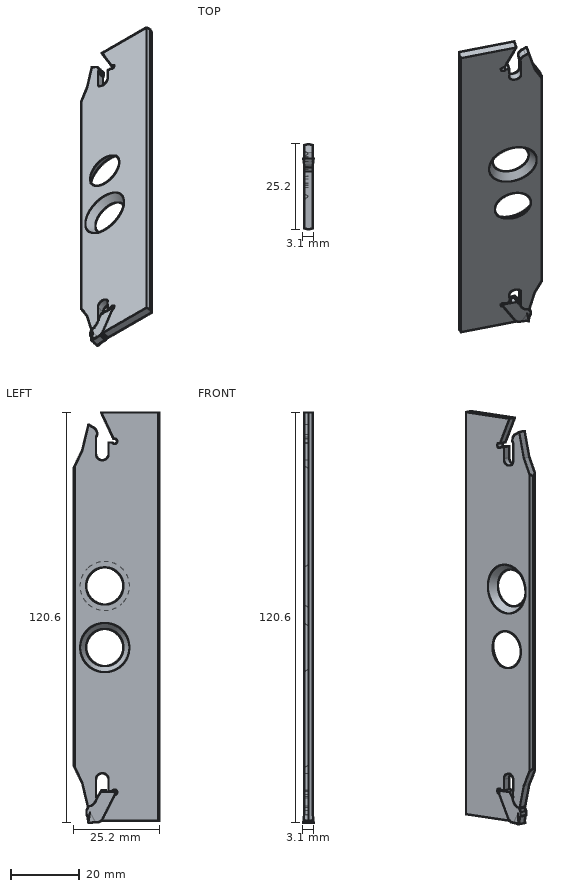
import cadquery as cq


blade_length = 120.0
blade_width = 25.2
blade_thickness = 2.5
ridge_depth = 0.4
blade_bottom = 0.6
half_thickness = blade_thickness / 2
blade_middle = blade_bottom + blade_length / 2

flank_start_depth = 16.4
flank_knee = (22.7, 11.1)
jaw_tip = (20.9, 3.5)
jaw_shoulder = (19.9, 4.1)
jaw_crown = (18.8, 4.8)
jaw_bulge = (18.2, 6.5)
jaw_root_depth = 7.2
slot_centre_y = 16.8
slot_radius = 1.8
slot_depth = 14.0
floor_depth = 8.8
relief_centre = (13.1, 8.5)
relief_radius = 0.7
seat_start_y = 17.1
seat_end = (13.6, 7.5)

hole_y = 16.0
hole_radius = 5.4
hole_spacing = 18.1
mouth_radius = 7.2

cutting_tip = (20.9, 0)
nose_notch = (21.2, 2.3)
nose_low = (21.5, 2.5)
nose_high = (21.5, 3.7)
clamp_start = (20.7, 5.0)
clamp_low = (20.0, 5.1)
clamp_middle = (19.0, 5.9)
clamp_high = (18.3, 7.5)
tail_clamp_side = (16.9, 9.8)
tail_crest_end = (15.8, 9.8)
tail_step = (15.6, 9.3)
tail_seat_side = (13.0, 9.3)
seat_top = (13.0, 8.5)
seat_bottom = (16.9, 0.8)
rake_end = (17.7, 0.2)
tail_bevel = 0.6
insert_head_width = 3.1
wedge_top = (20.4, 3.1)
wedge_bottom = (18.8, 0.4)


def extrude_across(profile, width):
    """Extrude a closed YZ outline symmetrically about X = 0."""
    return profile.close().extrude(width / 2, both=True)


def make_plate():
    """Plain blade whose two long edges rise to a ridge."""
    return (
        cq.Workplane("XY", origin=(0, 0, blade_bottom))
        .moveTo(0, 0)
        .lineTo(half_thickness, ridge_depth)
        .lineTo(half_thickness, blade_width - ridge_depth)
        .lineTo(0, blade_width)
        .lineTo(-half_thickness, blade_width - ridge_depth)
        .lineTo(-half_thickness, ridge_depth)
        .close()
        .extrude(blade_length)
    )


def make_end_cutter():
    """Material removed at the top end: sloped flank, jaw, slot and insert seat."""
    end = blade_bottom + blade_length

    def at(point):
        return (point[0], end - point[1])

    slot_outer = slot_centre_y + slot_radius
    slot_inner = slot_centre_y - slot_radius
    slot_arc_depth = slot_depth - slot_radius
    outline = (
        cq.Workplane("YZ")
        .moveTo(*at((seat_start_y, 0)))
        .lineTo(*at((blade_width, 0)))
        .lineTo(*at((blade_width, flank_start_depth)))
        .lineTo(*at(flank_knee))
        .lineTo(*at(jaw_tip))
        .lineTo(*at(jaw_shoulder))
        .threePointArc(at(jaw_crown), at(jaw_bulge))
        .lineTo(*at((slot_outer, jaw_root_depth)))
        .lineTo(*at((slot_outer, slot_arc_depth)))
        .threePointArc(at((slot_centre_y, slot_depth)), at((slot_inner, slot_arc_depth)))
        .lineTo(*at((slot_inner, floor_depth)))
        .lineTo(*at((relief_centre[0], floor_depth)))
        .lineTo(*at(seat_end))
    )
    relief = (
        cq.Workplane("YZ")
        .center(*at(relief_centre))
        .circle(relief_radius)
        .extrude(half_thickness, both=True)
    )
    return extrude_across(outline, blade_thickness).union(relief)


def make_conical_hole(z, side):
    """Through hole tapering inward from the -X (side = -1) or +X (side = 1) face."""
    mouth_centre = cq.Vector(side * half_thickness, hole_y, z)
    inward = cq.Vector(-side, 0, 0)
    cone = cq.Solid.makeCone(mouth_radius, hole_radius, blade_thickness, mouth_centre, inward)
    return cq.Workplane(cone)


def make_head_wedge(side):
    """Flare on one side of the insert that widens it toward the cutting tip."""
    inner, outer = side * half_thickness, side * insert_head_width / 2
    apex = cq.Vector(outer, *cutting_tip)
    foot = cq.Vector(0, *cutting_tip)
    top = cq.Vector(inner, *wedge_top)
    bottom = cq.Vector(inner, *wedge_bottom)
    corner_triples = [
        (apex, top, bottom),
        (apex, foot, top),
        (apex, bottom, foot),
        (foot, bottom, top),
    ]
    faces = [
        cq.Face.makeFromWires(cq.Wire.makePolygon(corners, close=True)) for corners in corner_triples
    ]
    return cq.Workplane(cq.Solid.makeSolid(cq.Shell.makeShell(faces)))


def make_insert():
    """Cutting insert with a flared head and a tail that rises to a ridge."""
    outline = (
        cq.Workplane("YZ")
        .moveTo(*cutting_tip)
        .lineTo(*nose_notch)
        .lineTo(*nose_low)
        .lineTo(*nose_high)
        .lineTo(*clamp_start)
        .lineTo(*clamp_low)
        .threePointArc(clamp_middle, clamp_high)
        .lineTo(*tail_clamp_side)
        .lineTo(*tail_crest_end)
        .lineTo(*tail_step)
        .lineTo(*tail_seat_side)
        .lineTo(*seat_top)
        .lineTo(*seat_bottom)
        .lineTo(*rake_end)
    )
    tail_top = tail_clamp_side[1]
    ridge_section = (
        cq.Workplane("XZ")
        .moveTo(-half_thickness, 0)
        .lineTo(half_thickness, 0)
        .lineTo(half_thickness, tail_top - tail_bevel)
        .lineTo(0, tail_top)
        .lineTo(-half_thickness, tail_top - tail_bevel)
        .close()
        .extrude(-blade_width)
    )
    body = extrude_across(outline, blade_thickness).intersect(ridge_section)
    for side in (-1, 1):
        body = body.union(make_head_wedge(side))
    return body


def make_blade(seated_insert):
    """Blade with an insert pocket at both ends and two conical holes opening on opposite faces."""
    top_cutter = make_end_cutter()
    bottom_cutter = top_cutter.mirror("XY", (0, 0, blade_middle))
    lower_hole_z = blade_middle - hole_spacing / 2
    upper_hole_z = blade_middle + hole_spacing / 2
    body = make_plate().cut(top_cutter).cut(bottom_cutter)
    for z, mouth_side in ((lower_hole_z, -1), (upper_hole_z, 1)):
        body = body.cut(make_conical_hole(z, mouth_side))
    return body.cut(seated_insert)


insert = make_insert()
blade = make_blade(insert)
result = cq.Compound.makeCompound([*blade.solids().vals(), *insert.solids().vals()])